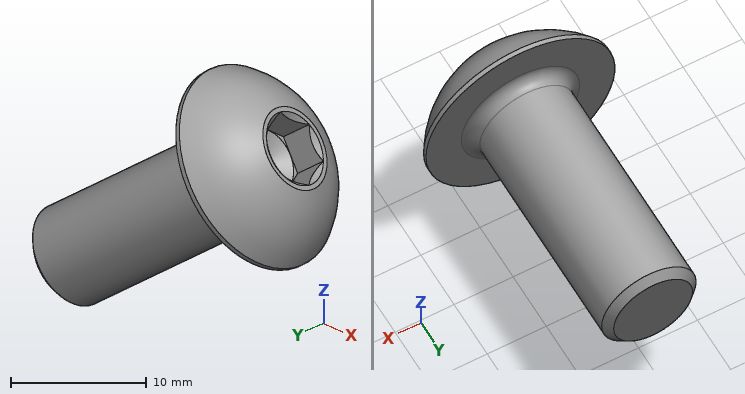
import cadquery as cq
import math


overall_length = 24.4
shank_radius = 8.0 / 2
tip_chamfer_length = 0.63
tip_chamfer_depth = 0.65

head_radius = 16.0 / 2
head_height = 4.4
rim_thickness = 0.4
crown_flat_radius = 6.6 / 2

neck_fillet_radius = 1.0

socket_across_flats = 5.05
socket_depth = 2.73
socket_chamfer_angle = 45.0
drill_radius = 5.0 / 2
drill_point_half_angle = 60.0

socket_corner_radius = socket_across_flats / math.sqrt(3)


def revolve_about_screw_axis(profile):
    """Revolve a closed radius-against-Y profile about the Y axis."""
    return profile.close().revolve(360, (0, 0, 0), (0, 1, 0))


def cone_from(y_base, base_radius, half_angle):
    """Cone with its base at y_base and its apex towards +Y."""
    height = base_radius / math.tan(math.radians(half_angle))
    profile = (
        cq.Workplane("XY")
        .moveTo(0, y_base)
        .lineTo(base_radius, y_base)
        .lineTo(0, y_base + height)
    )
    return revolve_about_screw_axis(profile)


def make_screw_body():
    """Solid of revolution: domed head, rim, neck fillet, shank and chamfered tip."""
    rim_front = head_height - rim_thickness

    dome_centre = (head_radius**2 + rim_front**2 - crown_flat_radius**2) / (2 * rim_front)
    dome_radius = math.hypot(crown_flat_radius, dome_centre)
    dome_mid_y = rim_front / 2
    dome_mid_radius = math.sqrt(dome_radius**2 - (dome_centre - dome_mid_y) ** 2)

    neck_end = head_height + neck_fillet_radius
    neck_bulge = neck_fillet_radius * (1 - math.sqrt(0.5))
    neck_midpoint = (shank_radius + neck_bulge, head_height + neck_bulge)

    profile = (
        cq.Workplane("XY")
        .moveTo(0, 0)
        .lineTo(crown_flat_radius, 0)
        .threePointArc((dome_mid_radius, dome_mid_y), (head_radius, rim_front))
        .lineTo(head_radius, head_height)
        .lineTo(shank_radius + neck_fillet_radius, head_height)
        .threePointArc(neck_midpoint, (shank_radius, neck_end))
        .lineTo(shank_radius, overall_length - tip_chamfer_length)
        .lineTo(shank_radius - tip_chamfer_depth, overall_length)
        .lineTo(0, overall_length)
    )
    return revolve_about_screw_axis(profile)


def make_socket():
    """Hexagonal recess with a conical mouth chamfer and a drill-point bottom."""
    hexagon = (
        cq.Workplane("XZ")
        .polygon(6, 2 * socket_corner_radius)
        .extrude(-socket_depth)
    )
    mouth_chamfer = cone_from(0, socket_corner_radius, socket_chamfer_angle)
    drill_point = cone_from(socket_depth, drill_radius, drill_point_half_angle)
    return hexagon.union(mouth_chamfer).union(drill_point)


result = make_screw_body().cut(make_socket())